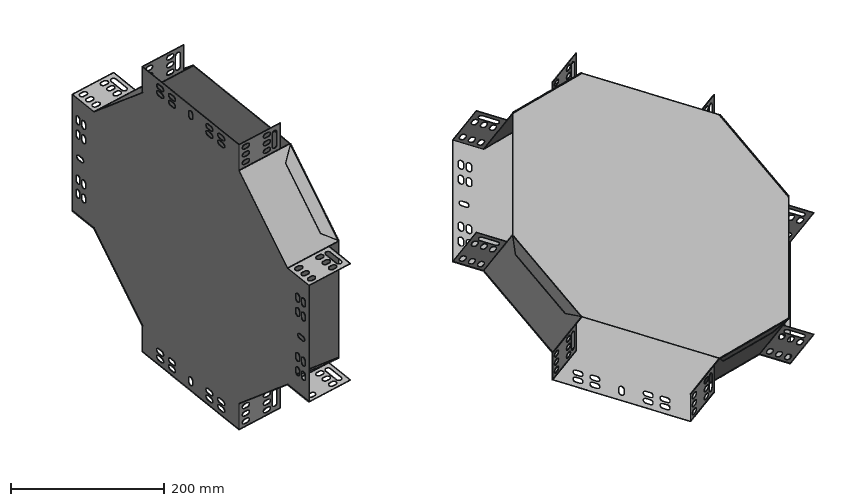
import cadquery as cq
import math


span = 491.5
total_depth = 86.5
sheet = 0.75
arm_width = 201.5
arm_projection = 44.5
flange_height = 70.0

arm_tip = span / 2
arm_half = arm_width / 2
mouth = arm_tip - arm_projection
wall_height = total_depth - sheet
diagonal_sheet = sheet * math.sqrt(2)
wall_length = (mouth - arm_half) * math.sqrt(2)
wall_distance = (mouth + arm_half) / math.sqrt(2)

floor_slot_length = 14.2
floor_slot_width = 8.0
floor_slot_offsets = (39.0, 63.5)
floor_slot_edge_gaps = (12.0, 23.5)
centre_slot_edge_gap = 16.0

flange_slot_length = 12.0
flange_slot_width = 7.5
flange_slot_heights = (12.0, 47.0)
flange_slot_pitch = 13.5
flange_slot_columns = 3
flange_slot_edge_gap = 22.0
long_slot_length = 30.0
long_slot_width = 8.0
long_slot_height = 60.0
long_slot_edge_gap = 23.0

tab_height = 19.5

QUARTER_TURNS = (0, 90, 180, 270)


def turned(shape, angle):
    """Turn a shape about the central axis."""
    return shape.rotate((0, 0, 0), (0, 0, 1), angle)


def octagon(corner_half, height):
    """Plate with four straight mouth edges of the given half length, joined by 45 degree edges."""
    outline = [
        (corner_half, mouth), (mouth, corner_half),
        (mouth, -corner_half), (corner_half, -mouth),
        (-corner_half, -mouth), (-mouth, -corner_half),
        (-mouth, corner_half), (-corner_half, mouth),
    ]
    return cq.Workplane("XY").polyline(outline).close().extrude(height)


def corner_wall():
    """Upright 45 degree wall between the +X and +Y arms, ending flush with both mouths."""
    inner_half = arm_half - diagonal_sheet
    outline = [(arm_half, mouth), (mouth, arm_half), (mouth, inner_half), (inner_half, mouth)]
    return cq.Workplane("XY").polyline(outline).close().extrude(wall_height)


def arm_flanges():
    """The two side flanges of the +X arm."""
    offset = arm_half - sheet / 2
    return (
        cq.Workplane("XY")
        .pushPoints([((mouth + arm_tip) / 2, -offset), ((mouth + arm_tip) / 2, offset)])
        .rect(arm_projection, sheet)
        .extrude(flange_height)
    )


def floor_slots():
    """Cutters for the slots in the floor of the +X arm."""
    across = [
        (arm_tip - gap, side * offset)
        for gap in floor_slot_edge_gaps
        for offset in floor_slot_offsets
        for side in (-1, 1)
    ]
    cutters = cq.Workplane("XY").pushPoints(across).slot2D(floor_slot_length, floor_slot_width, 90)
    centre = cq.Workplane("XY").center(arm_tip - centre_slot_edge_gap, 0)
    centre = centre.slot2D(floor_slot_length, floor_slot_width).extrude(sheet)
    return cutters.extrude(sheet).union(centre)


def flange_slots():
    """Cutters for the slots through both flanges of the +X arm."""
    middle_column = (flange_slot_columns - 1) / 2
    upright = [
        (arm_tip - flange_slot_edge_gap + (column - middle_column) * flange_slot_pitch, height)
        for column in range(flange_slot_columns)
        for height in flange_slot_heights
    ]
    cutters = cq.Workplane("XZ").pushPoints(upright).slot2D(flange_slot_length, flange_slot_width, 90)
    long_slot = cq.Workplane("XZ").center(arm_tip - long_slot_edge_gap, long_slot_height)
    long_slot = long_slot.slot2D(long_slot_length, long_slot_width)
    return cutters.extrude(arm_half, both=True).union(long_slot.extrude(arm_half, both=True))


def make_tray():
    """Cross-shaped tray: floor, arm flanges and corner walls in one piece."""
    tray = octagon(arm_half, sheet)
    tray = tray.union(cq.Workplane("XY").box(span, arm_width, sheet, centered=(True, True, False)))
    tray = tray.union(cq.Workplane("XY").box(arm_width, span, sheet, centered=(True, True, False)))
    for angle in QUARTER_TURNS:
        tray = tray.union(turned(arm_flanges(), angle))
        tray = tray.union(turned(corner_wall(), angle))
    for angle in QUARTER_TURNS:
        tray = tray.cut(turned(floor_slots(), angle))
        tray = tray.cut(turned(flange_slots(), angle))
    return tray


def lid_tab():
    """Tab with 45 degree ends lying against the outside of a corner wall, facing +X."""
    half_top = wall_length / 2
    half_bottom = half_top - tab_height
    tab_bottom = total_depth - tab_height
    outline = [
        (-half_top, total_depth), (half_top, total_depth),
        (half_bottom, tab_bottom), (-half_bottom, tab_bottom),
    ]
    plane = cq.Workplane("YZ", origin=(wall_distance, 0, 0))
    return plane.polyline(outline).close().extrude(sheet)


def make_lid():
    """Octagonal lid with a folded tab over each corner wall."""
    lid = octagon(arm_half + diagonal_sheet, sheet).translate((0, 0, wall_height))
    for angle in QUARTER_TURNS:
        lid = lid.union(turned(lid_tab(), angle + 45))
    return lid


def stand_upright(body):
    """Centre the depth on the origin and turn the tray floor to face -Y."""
    return body.translate((0, 0, -total_depth / 2)).rotate((0, 0, 0), (1, 0, 0), -90)


tray = stand_upright(make_tray())
lid = stand_upright(make_lid())

result = cq.Compound.makeCompound([tray.val(), lid.val()])